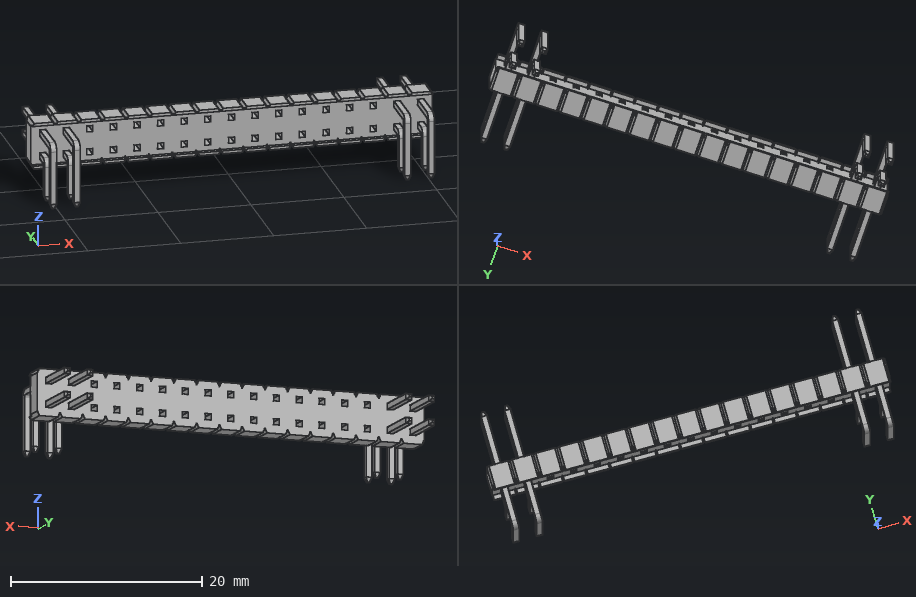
import cadquery as cq
import math


strip_length = 43.2
column_count = 17
pitch = strip_length / column_count
strip_height = 5.05
strip_depth = 2.07
lip_reach = 0.5
lip_thickness = 0.325
notch_depth = 0.47
notch_half_width = 0.237

pin_width = 0.65
bend_outer_radius = 0.8
rear_reach = 6.0
front_reach = 4.85
overall_height = 8.07
tip_length = 0.5
tip_end_width = 0.25
pinned_columns = (0, 1, column_count - 2, column_count - 1)

top_z = strip_height / 2
upper_row_z = pitch / 2
lower_row_z = -pitch / 2
rear_tip_y = strip_depth + rear_reach
lower_tip_z = top_z - overall_height
long_leg_y = pin_width / 2 - front_reach
short_leg_y = long_leg_y + pitch


def column_x(column):
    return (column + 0.5) * pitch - strip_length / 2


def make_notch(x, side):
    """V-groove along Y at x, cut into the top (side = 1) or the bottom (side = -1)."""
    return (
        cq.Workplane("XZ", origin=(x, strip_depth, 0))
        .moveTo(-notch_half_width, side * top_z)
        .lineTo(notch_half_width, side * top_z)
        .lineTo(0, side * (top_z - notch_depth))
        .close()
        .extrude(strip_depth + lip_reach)
    )


def make_housing():
    lip_inner_z = top_z - lip_thickness
    body = (
        cq.Workplane("YZ", origin=(-strip_length / 2, 0, 0))
        .polyline([
            (strip_depth, -top_z),
            (strip_depth, top_z),
            (-lip_reach, top_z),
            (-lip_reach, lip_inner_z),
            (0, lip_inner_z),
            (0, -lip_inner_z),
            (-lip_reach, -lip_inner_z),
            (-lip_reach, -top_z),
        ])
        .close()
        .extrude(strip_length)
    )

    for boundary in range(column_count + 1):
        x = boundary * pitch - strip_length / 2
        for side in (1, -1):
            body = body.cut(make_notch(x, side))

    hole_centers = [(column_x(c), z) for c in range(column_count) for z in (upper_row_z, lower_row_z)]
    holes = (
        cq.Workplane("XZ", origin=(0, strip_depth, 0))
        .pushPoints(hole_centers)
        .rect(pin_width, pin_width)
        .extrude(strip_depth)
    )
    return body.cut(holes)


def make_tip(base, direction):
    """Tapered square pin end, growing from the center of its base."""
    taper = math.degrees(math.atan2((pin_width - tip_end_width) / 2, tip_length))
    plane = cq.Plane(origin=base, xDir=(1, 0, 0), normal=direction)
    return cq.Workplane(plane).rect(pin_width, pin_width).extrude(tip_length, taper=taper)


def make_pin(x, row_z, leg_y):
    """Square pin along Y at row_z that bends down into a leg at leg_y."""
    half = pin_width / 2
    inner_radius = bend_outer_radius - pin_width
    rear_y = rear_tip_y - tip_length
    foot_z = lower_tip_z + tip_length
    bend_y = leg_y - half + bend_outer_radius
    bend_z = row_z + half - bend_outer_radius

    shank = (
        cq.Workplane("YZ", origin=(x - half, 0, 0))
        .moveTo(rear_y, row_z + half)
        .lineTo(bend_y, row_z + half)
        .radiusArc((leg_y - half, bend_z), -bend_outer_radius)
        .lineTo(leg_y - half, foot_z)
        .lineTo(leg_y + half, foot_z)
        .lineTo(leg_y + half, bend_z)
        .radiusArc((bend_y, row_z - half), inner_radius)
        .lineTo(rear_y, row_z - half)
        .close()
        .extrude(pin_width)
    )
    rear_tip = make_tip((x, rear_y, row_z), (0, 1, 0))
    foot_tip = make_tip((x, leg_y, foot_z), (0, 0, -1))
    return shank.union(rear_tip).union(foot_tip)


housing = make_housing()

pins = []
for column in pinned_columns:
    pins.append(make_pin(column_x(column), upper_row_z, long_leg_y))
    pins.append(make_pin(column_x(column), lower_row_z, short_leg_y))

result = cq.Compound.makeCompound([housing.val(), *[pin.val() for pin in pins]])